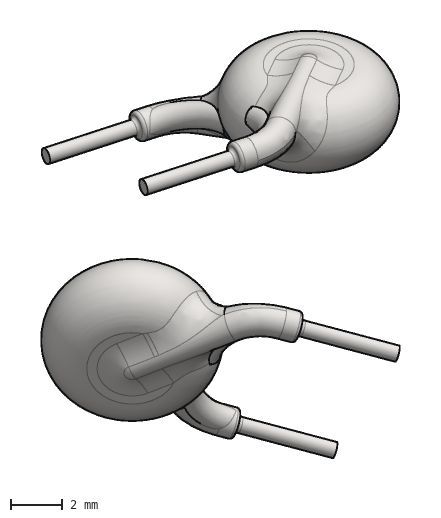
import cadquery as cq
import math

disc_diameter = 7.0
disc_thickness = 3.5

lead_pitch = 7.5
lead_height = 1.5
coating_radius = 0.625
bend_radius = 2.5
bend_angle = 45.0
coating_end_y = -5.5
coating_edge_radius = 0.15
blend_radius = 2.0

wire_diameter = 0.65
wire_end_y = -9.5

disc_radius = disc_diameter / 2
disc_half = disc_thickness / 2
flat_radius = disc_radius - disc_half
lead_x = lead_pitch / 2
wire_radius = wire_diameter / 2
wire_blend_radius = coating_radius - coating_edge_radius - wire_radius
bend_rad = math.radians(bend_angle)
bend_start_x = lead_x - bend_radius * (1 - math.cos(bend_rad))
bend_start_y = -bend_start_x / math.tan(bend_rad)
bend_center_x = lead_x - bend_radius
bend_center_y = bend_start_y - bend_radius * math.sin(bend_rad)
arm_length = math.hypot(bend_start_x, bend_start_y)
spare_length = disc_diameter

ball_height = lead_height - coating_radius - blend_radius
blend_end = flat_radius + math.sqrt((disc_half + blend_radius) ** 2 - ball_height**2)
skirt_depth = blend_radius - math.sqrt(blend_radius**2 - (blend_end - arm_length) ** 2)
skirt_fade_steps = 4
skirt_fade_power = 2

web_radius = 0.55
web_arc_radius = blend_radius + web_radius
web_center_x = lead_x - coating_radius - blend_radius
web_center_y = -5.27
web_end_angle = 98.0
web_end_z = 0.7


def lead_plane(x, y, angle):
    """Plane across the lead, facing along it; local X is in plan, local Y is up or down.

    The angle is the part of the bend still to go.
    """
    along = (math.sin(angle), -math.cos(angle), 0)
    across = (math.cos(angle), math.sin(angle), 0)
    return cq.Plane(origin=(x, y, lead_height), xDir=across, normal=along)


def bend_point(angle):
    """Point on the lead axis with the given part of the bend still to go."""
    return (
        bend_center_x + bend_radius * math.cos(angle),
        bend_center_y + bend_radius * math.sin(angle),
    )


def other_side(shape):
    """Second lead: the first one turned half a turn about the Y axis."""
    return shape.rotate((0, 0, 0), (0, 1, 0), 180)


def make_disc():
    """Disc turned about Z from its half section."""
    profile = (
        cq.Workplane("XZ")
        .moveTo(0, -disc_half)
        .lineTo(-flat_radius, -disc_half)
        .threePointArc((-disc_radius, 0), (-flat_radius, disc_half))
        .lineTo(0, disc_half)
        .close()
    )
    return profile.revolve(360, (0, 0, 0), (0, 1, 0))


def make_arm():
    """Straight round-nosed coating, longer than needed so the blend can run out."""
    tube = (
        cq.Workplane(lead_plane(0, 0, bend_rad))
        .circle(coating_radius)
        .extrude(arm_length + spare_length)
    )
    nose = cq.Workplane("XY", origin=(0, 0, lead_height)).sphere(coating_radius)
    return tube.union(nose)


def make_trim():
    """Block that removes the spare arm beyond the start of the bend."""
    return (
        cq.Workplane(lead_plane(bend_start_x, bend_start_y, bend_rad))
        .rect(lead_pitch, disc_thickness)
        .extrude(2 * spare_length)
    )


def make_body():
    """Disc blended into both arms, cut off where the bends start."""
    arm = make_arm()
    body = make_disc().union(arm).union(other_side(arm))
    body = body.edges("%BSPLINE").fillet(blend_radius)
    trim = make_trim()
    return body.cut(trim).cut(other_side(trim))


def bend_section(angle):
    """Round above the lead axis, half an ellipse below it where the skirt hangs down."""
    depth = coating_radius + skirt_depth * (angle / bend_rad) ** skirt_fade_power
    section = (
        cq.Workplane(lead_plane(*bend_point(angle), angle))
        .moveTo(coating_radius, 0)
        .threePointArc((0, coating_radius), (-coating_radius, 0))
        .ellipseArc(coating_radius, depth, 180, 360, startAtCurrent=True)
        .close()
    )
    return section.wires().val()


def make_bend():
    """Bend through which the skirt fades out to a plain round coating."""
    path = (
        cq.Workplane("XY", origin=(0, 0, lead_height))
        .moveTo(*bend_point(bend_rad))
        .threePointArc(bend_point(bend_rad / 2), bend_point(0))
    )
    sections = []
    for step in range(skirt_fade_steps + 1):
        sections.append(bend_section(bend_rad * (1 - step / skirt_fade_steps)))
    return cq.Workplane(cq.Solid.sweep_multi(sections, path.wire().val()))


def make_lead_end():
    """Straight end of the coating with rounded rim, the fillet onto the wire, and the wire."""
    shoulder_x = lead_x + wire_radius + wire_blend_radius
    profile = (
        cq.Workplane("XY", origin=(0, 0, lead_height))
        .moveTo(lead_x, bend_center_y)
        .lineTo(lead_x + coating_radius, bend_center_y)
        .lineTo(lead_x + coating_radius, coating_end_y + coating_edge_radius)
        .radiusArc((shoulder_x, coating_end_y), coating_edge_radius)
        .radiusArc((lead_x + wire_radius, coating_end_y - wire_blend_radius), -wire_blend_radius)
        .lineTo(lead_x + wire_radius, wire_end_y)
        .lineTo(lead_x, wire_end_y)
        .close()
    )
    return profile.revolve(360, (lead_x, 0, 0), (lead_x, 1, 0))


def web_point(fraction):
    """Point on the axis of the web, a fraction of the way from lead to disc."""
    angle = math.radians(web_end_angle) * fraction
    return cq.Vector(
        web_center_x + web_arc_radius * math.cos(angle),
        web_center_y + web_arc_radius * math.sin(angle),
        lead_height + (web_end_z - lead_height) * fraction,
    )


def make_web():
    """Round strut bridging the inside corner between the disc and the bend."""
    axis = cq.Edge.makeThreePointArc(web_point(0), web_point(0.5), web_point(1))
    start = cq.Plane(origin=web_point(0), normal=axis.tangentAt(0))
    return cq.Workplane(start).circle(web_radius).sweep(cq.Workplane(axis))


def make_lead():
    """One upper lead from the bend to the wire tip, with its web."""
    return make_bend().union(make_lead_end()).union(make_web())


lead = make_lead()
result = make_body().union(lead).union(other_side(lead))